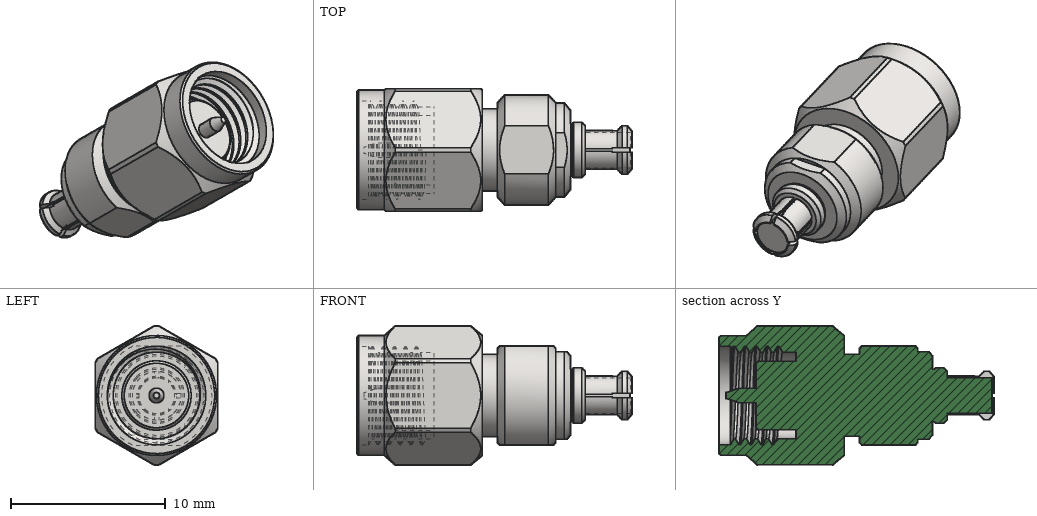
import cadquery as cq
import math

LENGTH = 17.8

NUT_ACROSS_FLATS = 7.94
NUT_ACROSS_CORNERS = 8.99
NUT_CORNER_RADIUS = NUT_ACROSS_CORNERS / 2
NUT_END_RADIUS = 3.88
NUT_FRONT = 1.78
NUT_FRONT_CONE = 0.7
NUT_BACK = 8.12
NUT_BACK_CONE = 0.75
COLLAR_RADIUS = 3.88
COLLAR_CHAMFER = 0.12

ENTRY_RADIUS = 3.19
ENTRY_DEPTH = 0.75
ENTRY_CONE = 0.21
MINOR_RADIUS = 2.8
CAVITY_DEPTH = 4.98
THREAD_PITCH = 0.71
THREAD_ROOT_RADIUS = 3.17
THREAD_ROOT_WIDTH = THREAD_PITCH / 8
THREAD_CREST_WIDTH = THREAD_PITCH / 4
THREAD_START = 0.64
THREAD_TURNS = 5
GROOVE_OVERLAP = 0.04

SLEEVE_RADIUS = 2.25
SLEEVE_CHAMFER = 0.16
SLEEVE_FRONT = 2.4
PIN_RADIUS = 0.48
PIN_TIP_RADIUS = 0.2
PIN_TIP = 0.46
PIN_CONE = 0.8

NECK_RADIUS = 2.67
BODY_FRONT = 9.08
BODY_RADIUS = 3.56
BODY_CONE = 0.48
BODY_END_RADIUS = 3.05
BODY_BACK = 12.87
BODY_FLATS = 6.4
FLANGE_RADIUS = BODY_END_RADIUS
FLANGE_CONE_START = 13.42
FLANGE_BACK = 13.81
FLANGE_END_RADIUS = 2.56
FLANGE_FLATS = 5.66

RING_NECK_RADIUS = 1.7
RING_FRONT = 13.92
RING_RADIUS = 1.8
RING_FRONT_CHAMFER = RING_RADIUS - RING_NECK_RADIUS
RING_BACK = 14.77
RING_BACK_CHAMFER = 0.23

BARREL_RADIUS = 1.26
BEAD_START = 16.84
BEAD_RADIUS = 1.58
BEAD_CONE = BEAD_RADIUS - BARREL_RADIUS
BEAD_TIP_CONE = 0.32
TIP_RADIUS = 1.21
CORE_RADIUS = 1.15
CORE_END = 17.65
SLOT_COUNT = 4
SLOT_WIDTH = 0.18
WIDE_SLOT_WIDTH = 0.28
WIDE_SLOT_START = 16.5


def turned(points):
    """Revolve an (x, radius) outline around the X axis."""
    return cq.Workplane("XY").polyline(points).close().revolve(360, (0, 0, 0), (1, 0, 0))


def rod(start, end, radius):
    """Plain cylinder along X."""
    return cq.Workplane("YZ", origin=(start, 0, 0)).circle(radius).extrude(end - start)


def slab(start, end, width_y, width_z):
    """Rectangular bar along X, centred on the axis."""
    return cq.Workplane("YZ", origin=(start, 0, 0)).rect(width_y, width_z).extrude(end - start)


def thread_groove():
    """Helical V groove with a flat root, cut outwards from the minor bore."""
    flank_slope = (THREAD_PITCH - THREAD_CREST_WIDTH - THREAD_ROOT_WIDTH) / 2
    flank_slope /= THREAD_ROOT_RADIUS - MINOR_RADIUS
    inner_radius = MINOR_RADIUS - GROOVE_OVERLAP
    half_root = THREAD_ROOT_WIDTH / 2
    half_mouth = half_root + flank_slope * (THREAD_ROOT_RADIUS - inner_radius)
    helix = cq.Wire.makeHelix(THREAD_PITCH, THREAD_PITCH * THREAD_TURNS, inner_radius)
    groove = (
        cq.Workplane("XZ")
        .polyline([
            (inner_radius, -half_mouth),
            (THREAD_ROOT_RADIUS, -half_root),
            (THREAD_ROOT_RADIUS, half_root),
            (inner_radius, half_mouth),
        ])
        .close()
        .sweep(cq.Workplane(obj=helix), isFrenet=True)
    )
    return groove.rotate((0, 0, 0), (0, 1, 0), 90).translate((THREAD_START, 0, 0))


def coupling_nut():
    """Hexagon with coned ends, a round collar in front and a threaded cavity."""
    hexagon_diameter = NUT_ACROSS_FLATS / math.cos(math.pi / 6)
    hexagon = (
        cq.Workplane("YZ", origin=(NUT_FRONT, 0, 0))
        .transformed(rotate=(0, 0, 90))
        .polygon(6, hexagon_diameter)
        .extrude(NUT_BACK - NUT_FRONT)
    )
    envelope = turned([
        (NUT_FRONT, 0),
        (NUT_FRONT, NUT_END_RADIUS),
        (NUT_FRONT + NUT_FRONT_CONE, NUT_CORNER_RADIUS),
        (NUT_BACK - NUT_BACK_CONE, NUT_CORNER_RADIUS),
        (NUT_BACK, NUT_END_RADIUS),
        (NUT_BACK, 0),
    ])
    collar = rod(0, NUT_FRONT + NUT_FRONT_CONE, COLLAR_RADIUS).faces("<X").chamfer(COLLAR_CHAMFER)
    cavity = turned([
        (0, 0),
        (0, ENTRY_RADIUS),
        (ENTRY_DEPTH, ENTRY_RADIUS),
        (ENTRY_DEPTH + ENTRY_CONE, MINOR_RADIUS),
        (CAVITY_DEPTH, MINOR_RADIUS),
        (CAVITY_DEPTH, 0),
    ])
    return hexagon.intersect(envelope).union(collar).cut(cavity).cut(thread_groove())


def sleeve_and_pin():
    """Chamfered sleeve standing on the cavity floor, with the pointed contact pin."""
    return turned([
        (PIN_TIP, 0),
        (PIN_TIP, PIN_TIP_RADIUS),
        (PIN_TIP + PIN_CONE, PIN_RADIUS),
        (SLEEVE_FRONT, PIN_RADIUS),
        (SLEEVE_FRONT, SLEEVE_RADIUS - SLEEVE_CHAMFER),
        (SLEEVE_FRONT + SLEEVE_CHAMFER, SLEEVE_RADIUS),
        (NUT_BACK, SLEEVE_RADIUS),
        (NUT_BACK, 0),
    ])


def body():
    """Body and rear flange, each with a pair of flats facing up and down."""
    barrel = turned([
        (BODY_FRONT, 0),
        (BODY_FRONT, BODY_END_RADIUS),
        (BODY_FRONT + BODY_CONE, BODY_RADIUS),
        (BODY_BACK - BODY_CONE, BODY_RADIUS),
        (BODY_BACK, BODY_END_RADIUS),
        (BODY_BACK, 0),
    ])
    flange = turned([
        (BODY_BACK, 0),
        (BODY_BACK, FLANGE_RADIUS),
        (FLANGE_CONE_START, FLANGE_RADIUS),
        (FLANGE_BACK, FLANGE_END_RADIUS),
        (FLANGE_BACK, 0),
    ])
    barrel = barrel.intersect(slab(BODY_FRONT, BODY_BACK, 2 * BODY_RADIUS, BODY_FLATS))
    flange = flange.intersect(slab(BODY_BACK, FLANGE_BACK, 2 * BODY_RADIUS, FLANGE_FLATS))
    neck = rod(CAVITY_DEPTH, BODY_FRONT, NECK_RADIUS)
    return neck.union(barrel).union(flange)


def ring():
    """Short neck and chamfered ring behind the flange."""
    return turned([
        (FLANGE_BACK, 0),
        (FLANGE_BACK, RING_NECK_RADIUS),
        (RING_FRONT, RING_NECK_RADIUS),
        (RING_FRONT + RING_FRONT_CHAMFER, RING_RADIUS),
        (RING_BACK - RING_BACK_CHAMFER, RING_RADIUS),
        (RING_BACK, RING_RADIUS - RING_BACK_CHAMFER),
        (RING_BACK, 0),
    ])


def snap_plug():
    """Beaded sleeve slotted lengthwise down to a solid core."""
    sleeve = turned([
        (RING_BACK, 0),
        (RING_BACK, BARREL_RADIUS),
        (BEAD_START, BARREL_RADIUS),
        (BEAD_START + BEAD_CONE, BEAD_RADIUS),
        (LENGTH - BEAD_TIP_CONE, BEAD_RADIUS),
        (LENGTH, TIP_RADIUS),
        (LENGTH, 0),
    ])
    slot = slab(RING_BACK, LENGTH, SLOT_WIDTH, 2 * BEAD_RADIUS)
    slot = slot.union(slab(WIDE_SLOT_START, LENGTH, WIDE_SLOT_WIDTH, 2 * BEAD_RADIUS))
    for index in range(SLOT_COUNT // 2):
        sleeve = sleeve.cut(slot.rotate((0, 0, 0), (1, 0, 0), index * 360 / SLOT_COUNT))
    sleeve = sleeve.cut(rod(CORE_END, LENGTH, CORE_RADIUS))
    return sleeve.union(rod(RING_BACK, CORE_END, CORE_RADIUS))


result = coupling_nut().union(sleeve_and_pin()).union(body()).union(ring()).union(snap_plug())